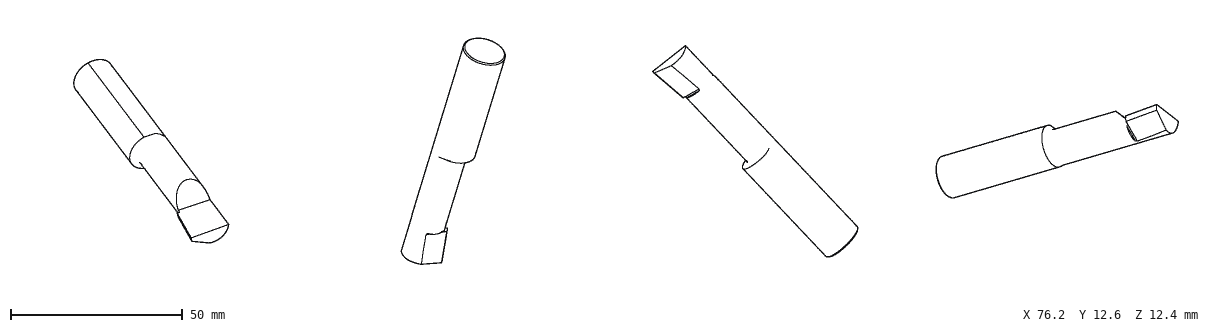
import cadquery as cq

total_length = 76.2
shank_radius = 6.3
shank_length = 36.7
shank_chamfer = 0.4
flat_height = 6.1

neck_radius = 5.4
neck_offset = 1.4
neck_fillet = 0.7

face_height = 0.0
ramp_start = 58.3
ramp_end = ramp_start + neck_radius - face_height
head_start = 64.6
edge_y_start = -4.9
edge_y_tip = -6.1

land_height = 1.7
land_relief = 0.3
clearance_run = 1.67
block_bottom = -3.8
runout_length = 0.45
runout_drop = 0.15

end_sweep = 0.4
end_rake = 0.7

margin = 7.6


def clearance_y(edge_y, z):
    """Y of the clearance face at height z, for a cutting edge at edge_y."""
    land_bottom = face_height - land_height
    return edge_y + land_relief + clearance_run * (land_bottom - z)


def loft_x(x_start, points_start, x_end, points_end):
    """Straight loft between two YZ outlines."""
    return (
        cq.Workplane("YZ", origin=(x_start, 0, 0)).polyline(points_start).close()
        .workplane(offset=x_end - x_start).polyline(points_end).close()
        .loft(ruled=True, combine=True)
    )


def make_shank():
    shank = cq.Workplane("YZ").circle(shank_radius).extrude(shank_length)
    shank = shank.faces("<X").chamfer(shank_chamfer)
    flat_cut = cq.Workplane("XY", origin=(0, 0, flat_height)).rect(2 * shank_length + margin, margin)
    return shank.cut(flat_cut.extrude(margin))


def make_neck():
    """Revolved bar with a root fillet, trimmed by the shank's cylinder."""
    fillet_end = shank_length + neck_fillet
    neck = (
        cq.Workplane("XZ", origin=(0, neck_offset, 0))
        .moveTo(shank_length, 0)
        .lineTo(shank_length, neck_radius + neck_fillet)
        .radiusArc((fillet_end, neck_radius), -neck_fillet)
        .lineTo(total_length, neck_radius)
        .lineTo(total_length, 0)
        .close()
        .revolve(360, (0, 0, 0), (1, 0, 0))
    )
    envelope = cq.Workplane("YZ").circle(shank_radius).extrude(total_length)
    return neck.intersect(envelope)


def make_ramp_cut():
    rise = shank_radius + margin
    return (
        cq.Workplane("XZ")
        .moveTo(ramp_end, face_height)
        .lineTo(total_length + margin, face_height)
        .lineTo(total_length + margin, face_height + rise)
        .lineTo(ramp_end - rise, face_height + rise)
        .close()
        .extrude(shank_radius + margin, both=True)
    )


def below_clearance(edge_y, drop=0.0):
    """Outline of the space under the clearance face, lowered by drop."""
    top = face_height - land_height
    bottom = -neck_radius - margin
    far_y = clearance_y(edge_y, bottom)
    near_y = clearance_y(edge_y, top)
    outer_y = near_y - margin
    return [
        (near_y, top - drop),
        (far_y, bottom - drop),
        (outer_y, bottom - drop),
        (outer_y, top - drop),
    ]


def make_clearance_cut():
    """Tapered cut along the head with a short sloping runout into the neck."""
    start = below_clearance(edge_y_start)
    tip = below_clearance(edge_y_tip)
    raised = below_clearance(edge_y_start, runout_drop)
    runout = loft_x(head_start - runout_length, raised, head_start, start)
    return loft_x(head_start, start, total_length, tip).union(runout)


def head_outline(edge_y):
    """Section of the head block before the clearance is cut."""
    land_bottom = face_height - land_height
    return [
        (edge_y, face_height),
        (edge_y + land_relief, land_bottom),
        (edge_y + land_relief, block_bottom),
        (neck_offset, block_bottom),
        (neck_offset, face_height),
    ]


def make_head():
    return loft_x(head_start, head_outline(edge_y_start), total_length, head_outline(edge_y_tip))


def make_end_cut():
    """Block beyond the inclined end face, which passes through the tool tip."""
    across = cq.Vector(-end_sweep, shank_radius - edge_y_tip, 0)
    down = cq.Vector(-end_rake, 0, -neck_radius)
    outward = across.cross(down).multiply(-1)
    end_plane = cq.Plane(origin=(total_length, edge_y_tip, face_height), xDir=across, normal=outward)
    block_size = 4 * shank_radius + margin
    return cq.Workplane(end_plane).rect(block_size, block_size).extrude(margin)


tool_end = make_neck().cut(make_ramp_cut()).union(make_head())
tool_end = tool_end.cut(make_clearance_cut()).cut(make_end_cut())
result = make_shank().union(tool_end)